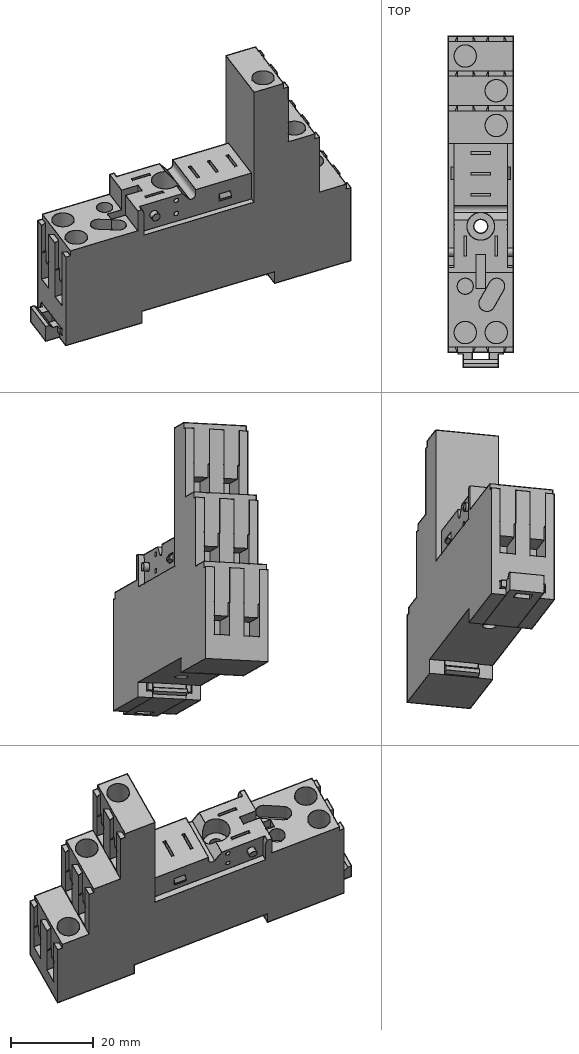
import cadquery as cq
import math


width = 15.8
length = 76.5
terrace_z = 28.9
deck_z = 35.0
deck_front_y = 19.3
tower_front_y = 50.5
tower_top_z = 61.0
tier_pitch_y = 8.4
tier_pitch_z = 18.45
tier_count = 3
tier_tops = [tower_top_z - (tier_count - 1 - i) * tier_pitch_z for i in range(tier_count)]
tier_backs = [length - i * tier_pitch_y for i in range(tier_count)]
ledge_depth = 1.25
ledge_height = 1.5

rail_front_y = 20.5
rail_back_y = 56.0
rail_depth = 3.6
hook_width = 8.4
hook_top_z = 2.2
hook_face_top_z = 1.7
hook_face_bottom_z = 0.7
hook_bottom_z = 0.1
hook_reach = 1.5
hook_pad = 0.3

terminal_x = 3.75
screw_radius = 2.7
screw_depth = 10.0
screw_inset = 4.8
wire_slot_width = 3.85
wire_slot_flare = 0.5
wire_slot_flare_rise = 8.1
wire_slot_drop = 18.05
wire_hole_height = 4.85
wire_hole_depth = 8.0

recess_depth = 1.45
recess_z = 27.0
recess_front_y = 21.0
recess_lead_y = 20.5
recess_lead_bottom_z = 33.0
cheek_x = width / 2 - recess_depth
notch_back_y = 35.55
notch_front_y = 32.0
notch_round_z = 33.65
notch_floor_y = 33.9
notch_floor_z = 32.55
blade_length = 4.75
blade_width = 0.65
blade_depth = 5.0
rear_blade_y = 38.15
rear_blade_pitch = 5.05
rear_blade_count = 3
front_blade_y = 25.75
mount_y = 30.5
mount_radius = 1.65
mount_head_radius = 3.35
mount_head_depth = 6.0
key_width = 2.25
key_front_y = 15.5
key_back_y = 23.7
key_depth = 3.0
pocket_y = 16.0
pocket_radius = 1.95
pocket_depth = 5.0
slant_far_x = 3.85
slant_near_x = 1.5
slant_near_y = 11.85

stud_y = 24.25
stud_z = 31.35
stud_radius = 1.05
pinhole_y = 30.35
pinhole_zs = (29.4, 33.45)
pinhole_radius = 0.6
pinhole_depth = 1.5
catch_back_y = 44.8
catch_front_y = 41.8
catch_height = 0.75
catch_slope_top_z = 31.5
catch_face_top_z = 30.45
catch_face_bottom_z = 29.95
catch_bottom_z = 29.3

clip_width = 8.5
clip_front_y = -3.65
clip_slope_back_y = -1.7
clip_slope_front_y = -2.65
clip_lip_z = 4.55
clip_tip_reach = 1.0
clip_tip_top_z = 2.4
clip_tip_face_z = 1.45
clip_tip_bottom_z = 0.9
clip_end_gap = 0.3
ear_half_width = 5.45
ear_bottom_z = 1.9
ear_front_y = -0.45
ear_clearance = 0.3
window_width = 4.0
window_back_y = 1.1


def box(x0, x1, y0, y1, z0, z1):
    return cq.Workplane("XY").box(x1 - x0, y1 - y0, z1 - z0, centered=False).translate((x0, y0, z0))


def extrude_x(profile, x0, x1):
    """Extrude a closed profile drawn on YZ from x0 to x1."""
    return profile.extrude(x1 - x0).translate((x0, 0, 0))


def yz_polygon(points, x0, x1):
    return extrude_x(cq.Workplane("YZ").polyline(points).close(), x0, x1)


def bore(x, y, top_z, radius, depth):
    return cq.Workplane("XY", origin=(x, y, top_z - depth)).circle(radius).extrude(depth)


def both_sides(shape):
    return shape.union(shape.mirror("YZ"))


def stepped_body():
    outline = [(0, 0), (0, terrace_z), (deck_front_y, terrace_z), (deck_front_y, deck_z),
               (tower_front_y, deck_z)]
    riser_y = tower_front_y
    for back_y, top_z in zip(reversed(tier_backs), reversed(tier_tops)):
        outline += [(riser_y, top_z), (back_y, top_z)]
        riser_y = back_y
    outline += [(length, 0), (rail_back_y, 0), (rail_back_y, rail_depth),
                (rail_front_y, rail_depth), (rail_front_y, 0)]
    return yz_polygon(outline, -width / 2, width / 2)


def wire_entries(face_y, inward, top_z):
    """Edge rebate, wire slots and wire holes of a terminal row; inward is +1 or -1 along Y."""
    def span(depth):
        return sorted((face_y, face_y + inward * depth))

    cut = box(-width / 2, width / 2, *span(ledge_depth), top_z - ledge_height, top_z)
    slot_bottom_z = top_z - wire_slot_drop
    for x in (-terminal_x, terminal_x):
        x0 = x - wire_slot_width / 2
        x1 = x + wire_slot_width / 2
        cut = cut.union(box(x0, x1, *span(ledge_depth), slot_bottom_z, top_z))
        inner_y = face_y + inward * ledge_depth
        flare = (cq.Workplane("XY", origin=(0, 0, slot_bottom_z + wire_slot_flare_rise))
                 .polyline([(x0, face_y), (x1, face_y), (x1 + wire_slot_flare, inner_y),
                            (x0 - wire_slot_flare, inner_y)])
                 .close().extrude(wire_slot_drop - wire_slot_flare_rise))
        cut = cut.union(flare)
        cut = cut.union(box(x0, x1, *span(wire_hole_depth), slot_bottom_z, slot_bottom_z + wire_hole_height))
    return cut


def side_recess():
    return extrude_x(
        cq.Workplane("YZ")
        .moveTo(recess_front_y, recess_z)
        .lineTo(recess_front_y, recess_lead_bottom_z)
        .tangentArcPoint((recess_lead_y, deck_z), relative=False)
        .lineTo(tower_front_y, deck_z)
        .lineTo(tower_front_y, recess_z)
        .close(),
        cheek_x, width / 2)


def deck_notch():
    """Groove across the deck: upright rear wall, round floor, sloping front."""
    return extrude_x(
        cq.Workplane("YZ")
        .moveTo(notch_back_y, deck_z)
        .lineTo(notch_back_y, notch_round_z)
        .tangentArcPoint((notch_floor_y, notch_floor_z), relative=False)
        .lineTo(notch_front_y, deck_z)
        .close(),
        -cheek_x, cheek_x)


def blade_slots():
    cuts = cq.Workplane("XY", origin=(0, 0, deck_z - blade_depth))
    rear_points = [(0, rear_blade_y + i * rear_blade_pitch) for i in range(rear_blade_count)]
    front_points = [(-terminal_x, front_blade_y), (terminal_x, front_blade_y)]
    rear = cuts.pushPoints(rear_points).rect(blade_length, blade_width).extrude(blade_depth)
    front = cuts.pushPoints(front_points).rect(blade_width, blade_length).extrude(blade_depth)
    return rear.union(front)


def slanted_slot():
    run_x = slant_far_x - slant_near_x
    run_y = pocket_y - slant_near_y
    middle_x = (slant_far_x + slant_near_x) / 2
    middle_y = (pocket_y + slant_near_y) / 2
    angle = math.degrees(math.atan2(run_y, run_x))
    length_over_ends = math.hypot(run_x, run_y) + 2 * pocket_radius
    return (cq.Workplane("XY", origin=(middle_x, middle_y, terrace_z - pocket_depth))
            .transformed(rotate=(0, 0, angle))
            .slot2D(length_over_ends, 2 * pocket_radius)
            .extrude(pocket_depth))


def side_catch():
    return (cq.Workplane("XZ", origin=(0, catch_back_y, 0))
            .polyline([(cheek_x, catch_slope_top_z), (cheek_x + catch_height, catch_face_top_z),
                       (cheek_x + catch_height, catch_face_bottom_z), (cheek_x, catch_bottom_z)])
            .close().extrude(catch_back_y - catch_front_y))


def side_cylinder(y, z, radius, height):
    """Cylinder on the +X wall of the deck; a negative height goes into the wall."""
    return cq.Workplane("YZ", origin=(cheek_x, y, z)).circle(radius).extrude(height)


def rail_hook():
    return yz_polygon(
        [(rail_back_y, rail_depth), (rail_back_y - hook_pad, rail_depth),
         (rail_back_y - hook_pad, hook_top_z), (rail_back_y - hook_reach / 2, hook_top_z),
         (rail_back_y - hook_reach, hook_face_top_z), (rail_back_y - hook_reach, hook_face_bottom_z),
         (rail_back_y - hook_pad, hook_bottom_z), (rail_back_y, hook_bottom_z)],
        -hook_width / 2, hook_width / 2)


def clip_track():
    half = clip_width / 2
    track_half = ear_half_width + ear_clearance
    stem = box(-half, half, 0, rail_front_y, 0, rail_depth)
    return stem.union(box(-track_half, track_half, 0, rail_front_y, ear_bottom_z - ear_clearance, rail_depth))


def make_housing():
    body = stepped_body()
    body = body.cut(wire_entries(0, 1, terrace_z))
    for back_y, top_z in zip(tier_backs, tier_tops):
        body = body.cut(wire_entries(back_y, -1, top_z))

    for x in (-terminal_x, terminal_x):
        body = body.cut(bore(x, screw_inset, terrace_z, screw_radius, screw_depth))
    for x, back_y, top_z in zip((-terminal_x, terminal_x, terminal_x), tier_backs, tier_tops):
        body = body.cut(bore(x, back_y - screw_inset, top_z, screw_radius, screw_depth))

    body = body.cut(both_sides(side_recess())).cut(deck_notch()).cut(blade_slots())
    body = body.cut(bore(0, mount_y, deck_z, mount_radius, deck_z))
    body = body.cut(bore(0, mount_y, deck_z, mount_head_radius, mount_head_depth))
    key_bottom_z = terrace_z - key_depth
    body = body.cut(box(-key_width / 2, key_width / 2, key_front_y, key_back_y, key_bottom_z, deck_z))
    body = body.cut(bore(-terminal_x, pocket_y, terrace_z, pocket_radius, pocket_depth)).cut(slanted_slot())

    body = body.union(both_sides(side_catch()))
    body = body.union(both_sides(side_cylinder(stud_y, stud_z, stud_radius, recess_depth)))
    for z in pinhole_zs:
        body = body.cut(both_sides(side_cylinder(pinhole_y, z, pinhole_radius, -pinhole_depth)))
    return body.union(rail_hook()).cut(clip_track())


def make_clip():
    half = clip_width / 2
    tip_y = rail_front_y + clip_tip_reach
    bar = yz_polygon(
        [(clip_front_y, 0), (clip_front_y, clip_lip_z), (clip_slope_front_y, clip_lip_z),
         (clip_slope_back_y, rail_depth), (rail_front_y + clip_end_gap, rail_depth),
         (rail_front_y + clip_end_gap, clip_tip_top_z), (tip_y, clip_tip_top_z),
         (tip_y, clip_tip_face_z), (rail_front_y, clip_tip_bottom_z), (rail_front_y, 0)],
        -half, half)
    ears = box(-ear_half_width, ear_half_width, ear_front_y, rail_front_y, ear_bottom_z, rail_depth)
    window = box(-window_width / 2, window_width / 2, clip_slope_back_y, window_back_y, 0, rail_depth)
    return bar.union(ears).cut(window)


housing = make_housing()
clip = make_clip()

result = cq.Compound.makeCompound([housing.solids().val(), clip.solids().val()])